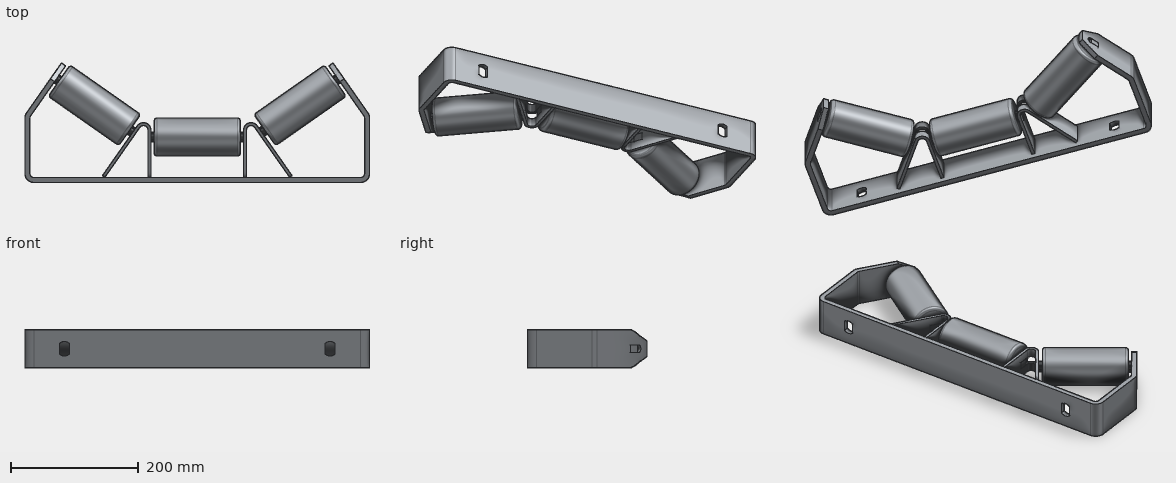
import cadquery as cq
import math

SPAN = 540.0
REACH = 187.5
STRIP_WIDTH = 60.0
MID_Z = STRIP_WIDTH / 2
TILT = 35.0

PLATE = 8.0
PLATE_BEND = 14.0
WALL_TOP = 101.0
TIP_WIDTH = 25.0
TIP_TAPER = 30.0
BOLT_SLOT_X = 208.0
BOLT_SLOT_WIDTH = 15.0
BOLT_SLOT_LENGTH = 22.5
BOLT_SLOT_END_RADIUS = BOLT_SLOT_LENGTH / 2

BRACKET_PLATE = 5.0
BRACKET_BEND = 12.0
BRACKET_X = 72.5
BRACKET_BEND_Y = 82.0
BRACKET_WIDTH = 40.0

ROLLER_LENGTH = 135.0
ROLLER_DIAMETER = 60.0
ROLLER_FILLET = 5.0
ARM_GAP = 5.0
SHAFT_DIAMETER = 15.0
TENON_WIDTH = 12.0
TENON_LENGTH = 14.0
CENTRE_SHAFT_Y = 71.5
ARM_SHAFT = 71.0
ARM_SLOT_LENGTH = 20.0
ARM_SLOT_END_RADIUS = 7.5


def polar(centre, radius, angle):
    """Point at a radius and an angle in degrees around a centre."""
    turn = math.radians(angle)
    return (centre[0] + radius * math.cos(turn), centre[1] + radius * math.sin(turn))


FRAME_BEND = (SPAN / 2 - PLATE_BEND, WALL_TOP)
ARM_START = polar(FRAME_BEND, PLATE_BEND, TILT)
ARM_LENGTH = (REACH - ARM_START[1]) / math.cos(math.radians(TILT))
ARM_TIP = polar(ARM_START, ARM_LENGTH, TILT + 90)
SIDE_SHAFT_END = polar(ARM_START, ARM_SHAFT, TILT + 90)

ARCH = (BRACKET_X + BRACKET_BEND, BRACKET_BEND_Y)
LEG_INNER_START = polar(ARCH, BRACKET_BEND - BRACKET_PLATE, TILT)
LEG_LENGTH = (LEG_INNER_START[1] - PLATE) / math.cos(math.radians(TILT))
LEG_FOOT = polar(LEG_INNER_START, LEG_LENGTH, TILT - 90)

SIDE_SHAFT_LENGTH = (
    (SIDE_SHAFT_END[0] - LEG_INNER_START[0]) * math.cos(math.radians(TILT))
    + (SIDE_SHAFT_END[1] - LEG_INNER_START[1]) * math.sin(math.radians(TILT))
)
SIDE_SHAFT_START = polar(SIDE_SHAFT_END, -SIDE_SHAFT_LENGTH, TILT)
CENTRE_SHAFT_LENGTH = 2 * (BRACKET_X + BRACKET_PLATE)


def along(start, angle):
    """Plane at a point in the middle of the width: its normal lies in XY at the angle, its Y is Z."""
    turn = math.radians(angle)
    return cq.Plane(
        origin=(start[0], start[1], MID_Z),
        xDir=(-math.sin(turn), math.cos(turn), 0),
        normal=(math.cos(turn), math.sin(turn), 0),
    )


def mirrored(body):
    return body.mirror("YZ")


def arc_rise(width, radius):
    """Height of an arc of the given radius over a chord of the given width."""
    return radius - math.sqrt(radius**2 - (width / 2) ** 2)


def bolt_slot():
    """Upright slot through the base, with a shallow arc at each end."""
    end = BOLT_SLOT_LENGTH / 2
    shoulder = end - arc_rise(BOLT_SLOT_WIDTH, BOLT_SLOT_END_RADIUS)
    side = BOLT_SLOT_WIDTH / 2
    return (
        cq.Workplane("XZ", origin=(BOLT_SLOT_X, 0, MID_Z))
        .moveTo(side, -shoulder)
        .lineTo(side, shoulder)
        .threePointArc((0, end), (-side, shoulder))
        .lineTo(-side, -shoulder)
        .threePointArc((0, -end), (side, -shoulder))
        .close()
        .extrude(-PLATE)
    )


def arm_slot():
    """Slot through the arm, flat at the lower end under the tenon and arched at the upper end."""
    seat = -TENON_LENGTH / 2
    end = seat + ARM_SLOT_LENGTH
    shoulder = end - arc_rise(TENON_WIDTH, ARM_SLOT_END_RADIUS)
    side = TENON_WIDTH / 2
    return (
        cq.Workplane(along(SIDE_SHAFT_END, TILT))
        .moveTo(seat, -side)
        .lineTo(shoulder, -side)
        .threePointArc((end, 0), (shoulder, side))
        .lineTo(seat, side)
        .close()
        .extrude(-PLATE)
    )


def bracket_slot(start, angle):
    """Cut from the seat of a tenon up past the top of the arch, as deep as the bend radius."""
    rise = TENON_LENGTH + 2 * BRACKET_BEND
    return (
        cq.Workplane(along(start, angle))
        .center((rise - TENON_LENGTH) / 2, 0)
        .rect(rise, TENON_WIDTH)
        .extrude(BRACKET_BEND)
    )


def frame_half():
    """Base, wall and arm of the +X side."""
    corner = (SPAN / 2 - PLATE_BEND, PLATE_BEND)
    inner_bend = PLATE_BEND - PLATE
    half = (
        cq.Workplane("XY")
        .moveTo(0, 0)
        .lineTo(*polar(corner, PLATE_BEND, -90))
        .threePointArc(polar(corner, PLATE_BEND, -45), polar(corner, PLATE_BEND, 0))
        .lineTo(*polar(FRAME_BEND, PLATE_BEND, 0))
        .threePointArc(polar(FRAME_BEND, PLATE_BEND, TILT / 2), ARM_START)
        .lineTo(*ARM_TIP)
        .lineTo(*polar(ARM_TIP, -PLATE, TILT))
        .lineTo(*polar(FRAME_BEND, inner_bend, TILT))
        .threePointArc(polar(FRAME_BEND, inner_bend, TILT / 2), polar(FRAME_BEND, inner_bend, 0))
        .lineTo(*polar(corner, inner_bend, 0))
        .threePointArc(polar(corner, inner_bend, -45), polar(corner, inner_bend, -90))
        .lineTo(0, PLATE)
        .close()
        .extrude(STRIP_WIDTH)
    )
    for side in (-1, 1):
        taper = (
            cq.Workplane(along(ARM_TIP, TILT))
            .moveTo(0, side * TIP_WIDTH / 2)
            .lineTo(0, side * MID_Z)
            .lineTo(-TIP_TAPER, side * MID_Z)
            .close()
            .extrude(-PLATE)
        )
        half = half.cut(taper)
    return half.cut(arm_slot()).cut(bolt_slot())


def make_frame():
    half = frame_half()
    return half.union(mirrored(half))


def make_bracket():
    """Arch with an upright beside the centre roller and a sloping leg beside the side roller."""
    inner_bend = BRACKET_BEND - BRACKET_PLATE
    middle = (180 + TILT) / 2
    bracket = (
        cq.Workplane("XY", origin=(0, 0, MID_Z - BRACKET_WIDTH / 2))
        .moveTo(BRACKET_X, PLATE)
        .lineTo(*polar(ARCH, BRACKET_BEND, 180))
        .threePointArc(polar(ARCH, BRACKET_BEND, middle), polar(ARCH, BRACKET_BEND, TILT))
        .lineTo(*polar(LEG_FOOT, BRACKET_PLATE, TILT))
        .lineTo(*LEG_FOOT)
        .lineTo(*LEG_INNER_START)
        .threePointArc(polar(ARCH, inner_bend, middle), polar(ARCH, inner_bend, 180))
        .lineTo(BRACKET_X + BRACKET_PLATE, PLATE)
        .close()
        .extrude(BRACKET_WIDTH)
    )
    upright_slot = bracket_slot((BRACKET_X, CENTRE_SHAFT_Y), 0)
    leg_slot = bracket_slot(polar(SIDE_SHAFT_START, -inner_bend, TILT), TILT)
    return bracket.cut(upright_slot).cut(leg_slot)


def make_roller(start, angle, length, first_tenon, last_tenon, body_start):
    """Roller and shaft in one piece; the first tenon starts at the given point."""
    shaft_plane = cq.Workplane(along(start, angle))
    body = (
        shaft_plane.workplane(offset=body_start)
        .circle(ROLLER_DIAMETER / 2)
        .extrude(ROLLER_LENGTH)
        .edges()
        .fillet(ROLLER_FILLET)
    )
    shaft = (
        shaft_plane.workplane(offset=first_tenon)
        .circle(SHAFT_DIAMETER / 2)
        .extrude(length - first_tenon - last_tenon)
    )
    tenons = shaft_plane.rect(TENON_LENGTH, TENON_WIDTH).extrude(length)
    return body.union(shaft).union(tenons)


frame = make_frame()
bracket = make_bracket()
centre_roller = make_roller(
    start=(-CENTRE_SHAFT_LENGTH / 2, CENTRE_SHAFT_Y),
    angle=0,
    length=CENTRE_SHAFT_LENGTH,
    first_tenon=BRACKET_PLATE,
    last_tenon=BRACKET_PLATE,
    body_start=(CENTRE_SHAFT_LENGTH - ROLLER_LENGTH) / 2,
)
side_roller = make_roller(
    start=SIDE_SHAFT_START,
    angle=TILT,
    length=SIDE_SHAFT_LENGTH,
    first_tenon=BRACKET_PLATE,
    last_tenon=PLATE,
    body_start=SIDE_SHAFT_LENGTH - PLATE - ARM_GAP - ROLLER_LENGTH,
)

bodies = [frame.solids().val(), centre_roller.solids().val()]
for body in (bracket, side_roller):
    bodies.append(body.solids().val())
    bodies.append(mirrored(body).solids().val())

result = cq.Compound.makeCompound(bodies)